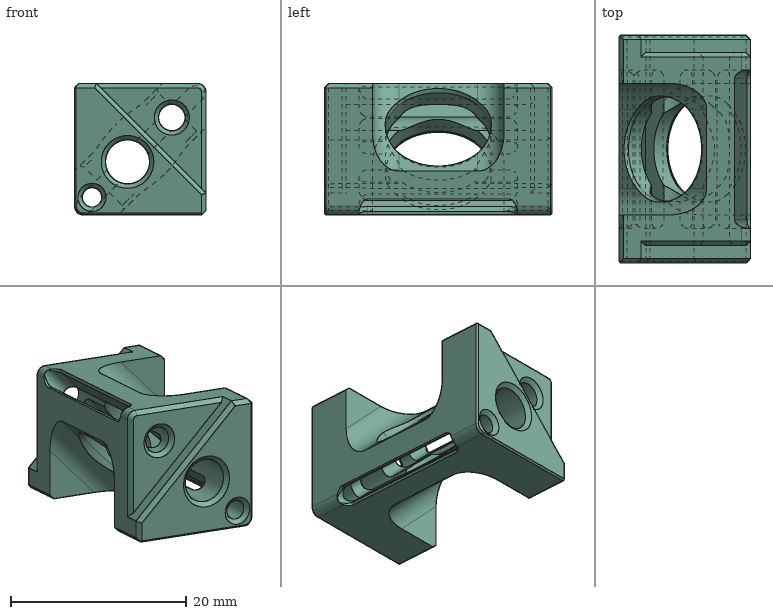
import cadquery as cq
import math

SIDE = 15.0
LENGTH = 26.0
HALF_SIDE = SIDE / 2
HALF_LENGTH = LENGTH / 2
OVERSIZE = 2 * LENGTH

EDGE_RADIUS = 1.0
BEVEL = 0.5
SMALL_BEVEL = 0.2

STEP_DEPTH = 2.0
STEP_START = 2.5

LENGTHWISE_HOLES = [
    (2.0, 2.2),
    (6.05, 5.0),
    (11.1, 3.0),
]
COUNTERSINK = 0.5

POCKET_RUN = 10.0
POCKET_WIDTH = 15.0
POCKET_RADIUS = 3.0
POCKET_FLOOR = (SIDE - POCKET_RUN) / math.sqrt(2)

WINDOW_DIAMETER = 12.0
WINDOW_BEVEL_DEPTH = 0.45
WINDOW_BEVEL_WIDTH = 0.25
WINDOW_BEVEL_WIDTH_Y = 0.03

SLOT_WIDTH = 2.0
SLOT_STRAIGHT = 16.1
SLOT_MOUTH_DEPTH = 0.42
SLOT_MOUTH_REACH = 1.8

END_PLANE = cq.Plane(origin=(0, 0, 0), xDir=(1, 0, 0), normal=(0, -1, 0))
POCKET_PLANE = cq.Plane(origin=(0, 0, 0), xDir=(0, 1, 0), normal=(-1, 0, 1))
SLOT_PLANE = cq.Plane(origin=(0, 0, 0), xDir=(0, 1, 0), normal=(1, 0, 1))


def square_prism(corner, direction, half_length, bevel):
    """Oversize prism along Y with one rounded corner edge and bevelled ends."""
    size = direction * OVERSIZE
    prism = (
        cq.Workplane(END_PLANE)
        .polyline([
            (corner, corner),
            (corner + size, corner),
            (corner + size, corner + size),
            (corner, corner + size),
        ])
        .close()
        .extrude(half_length, both=True)
    )
    nearest_edge = cq.selectors.NearestToPointSelector((corner, 0, corner))
    return prism.edges("|Y").edges(nearest_edge).fillet(EDGE_RADIUS).faces("|Y").chamfer(bevel)


def stepped_core():
    """Prism bounded at +X and +Z, full length below the diagonal step only."""
    low = HALF_SIDE - OVERSIZE
    step_x = STEP_START - HALF_SIDE
    full_length_part = (
        cq.Workplane(END_PLANE)
        .polyline([
            (low, low),
            (HALF_SIDE, low),
            (HALF_SIDE, step_x),
            (step_x, HALF_SIDE),
            (low, HALF_SIDE),
        ])
        .close()
        .extrude(HALF_LENGTH, both=True)
        .faces("|Y")
        .chamfer(BEVEL)
    )
    shorter_part = square_prism(HALF_SIDE, -1, HALF_LENGTH - STEP_DEPTH, BEVEL)
    return full_length_part.union(shorter_part)


def block():
    """Stepped block with all its outer edges treated."""
    body = stepped_core().intersect(square_prism(-HALF_SIDE, 1, HALF_LENGTH, SMALL_BEVEL))
    bevelled_span = (SIDE - BEVEL) * math.sqrt(2)
    envelope = cq.Workplane(POCKET_PLANE).rect(OVERSIZE, OVERSIZE).extrude(bevelled_span / 2, both=True)
    return body.intersect(envelope)


def lengthwise_hole(position, diameter, half_length):
    """Through hole along Y with a countersink at both ends."""
    centre = position - HALF_SIDE
    radius = diameter / 2
    profile = [
        (0, -half_length),
        (radius + COUNTERSINK, -half_length),
        (radius, -half_length + COUNTERSINK),
        (radius, half_length - COUNTERSINK),
        (radius + COUNTERSINK, half_length),
        (0, half_length),
    ]
    hole = cq.Workplane("XY").polyline(profile).close().revolve(360, (0, 0), (0, 1))
    return hole.translate((centre, 0, centre))


def pocket():
    """Pocket on the (-X, +Z) side with rounded floor edges."""
    return (
        cq.Workplane(POCKET_PLANE)
        .workplane(offset=POCKET_FLOOR)
        .rect(POCKET_WIDTH, OVERSIZE)
        .extrude(SIDE)
        .faces("<(-1, 0, 1)")
        .edges("|(1, 0, 1)")
        .fillet(POCKET_RADIUS)
    )


def window():
    """Round tool through the block, square to the pocket floors."""
    return cq.Workplane(POCKET_PLANE).circle(WINDOW_DIAMETER / 2).extrude(SIDE, both=True)


def window_bevel():
    """Flared tool for the rim of the window on the (-X, +Z) pocket floor."""
    radius = WINDOW_DIAMETER / 2
    flare_height = 2 * WINDOW_BEVEL_DEPTH
    return (
        cq.Workplane(POCKET_PLANE)
        .workplane(offset=POCKET_FLOOR - WINDOW_BEVEL_DEPTH)
        .ellipse(radius, radius)
        .workplane(offset=flare_height)
        .ellipse(radius + 2 * WINDOW_BEVEL_WIDTH_Y, radius + 2 * WINDOW_BEVEL_WIDTH)
        .loft(ruled=True)
    )


def slot():
    """Round-ended tool through the block from one rounded long edge to the other."""
    total = SLOT_STRAIGHT + SLOT_WIDTH
    return cq.Workplane(SLOT_PLANE).slot2D(total, SLOT_WIDTH).extrude(SIDE, both=True)


def slot_mouth():
    """Shallow round-ended recess in the +X face that widens the slot at the (+X, +Z) edge."""
    mouth = cq.Workplane("YZ").rect(SLOT_STRAIGHT, 2 * SLOT_MOUTH_REACH).extrude(SIDE)
    for end in (-1, 1):
        round_end = (
            cq.Workplane("YZ")
            .center(end * SLOT_STRAIGHT / 2, 0)
            .ellipse(SLOT_WIDTH / 2, SLOT_MOUTH_REACH)
            .extrude(SIDE)
        )
        mouth = mouth.union(round_end)
    return mouth.translate((HALF_SIDE - SLOT_MOUTH_DEPTH, 0, HALF_SIDE))


def both_sides(tool):
    """The tool as placed, and turned half a turn about the Y axis."""
    return [tool, tool.rotate((0, 0, 0), (0, 1, 0), 180)]


result = block()
for pocket_tool in both_sides(pocket()):
    result = result.cut(pocket_tool)
result = result.cut(window())
for bevel_tool in both_sides(window_bevel()):
    result = result.cut(bevel_tool)
result = result.cut(slot())
plus_x_mouth = slot_mouth()
plus_z_mouth = plus_x_mouth.rotate((0, 0, 0), (1, 0, 1), 180)
for mouth in both_sides(plus_x_mouth) + both_sides(plus_z_mouth):
    result = result.cut(mouth)
for position, diameter in LENGTHWISE_HOLES:
    in_step = 2 * position > SIDE + STEP_START
    half_length = HALF_LENGTH - STEP_DEPTH if in_step else HALF_LENGTH
    result = result.cut(lengthwise_hole(position, diameter, half_length))